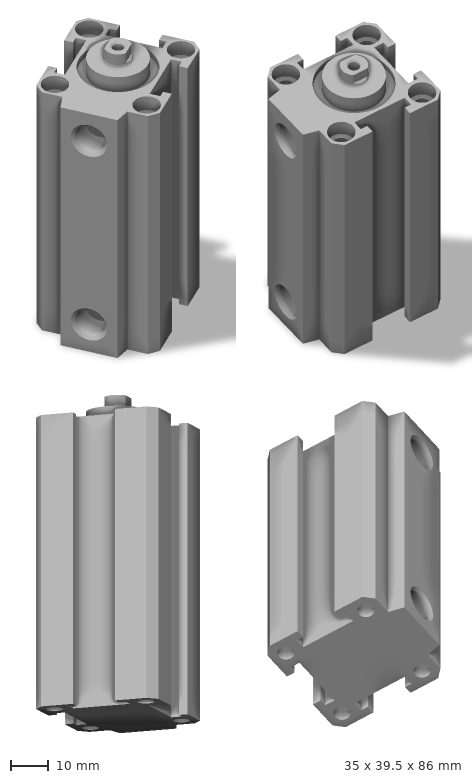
import cadquery as cq
import math


ORIGIN = (0, 0, 0)
Z_AXIS = (0, 0, 1)
PROFILE_AXIS = (0, 1, 0)
FULL_TURN = 360

width = 35.0
half = width / 2
total_depth = 39.5
total_height = 86.0
corner_chamfer = 2.5
housing_height = 79.0

slot_opening = 12.0
slot_inner = 16.2
slot_lip = 2.5
slot_depth = 5.5

port_boss_top_width = 18.4
port_boss_face_width = 16.2
port_face_y = half - total_depth

mount_spacing = 26.0
mount_hole_diameter = 4.6
mount_bore_diameter = 7.6
mount_bore_depth = 4.6

collar_diameter = 16.9
collar_height = 3.0
recess_diameter = 22.0
recess_depth = 2.0
collar_top = housing_height + collar_height

port_diameter = 8.6
port_chamfer = 0.9
port_depth = 8.0
port_end_distance = 9.0

rod_diameter = 8.0
rod_tip_diameter = 7.5
rod_shoulder_height = 0.5
rod_seat_depth = 10.0
rod_bottom = collar_top - rod_seat_depth

flat_width = 6.0
flat_start = 0.95
flat_runout_angle = 30

thread_hole_diameter = 3.2
thread_hole_chamfer = 0.4
thread_hole_depth = 6.9
drill_tip_angle = 118


def t_slot(angle):
    """Full-height T-slot on the +Y side, turned about Z by the angle."""
    mouth = cq.Workplane("XY").box(slot_opening, slot_depth, housing_height, centered=(True, False, False))
    channel = cq.Workplane("XY").box(
        slot_inner, slot_depth - slot_lip, housing_height, centered=(True, False, False)
    )
    slot = mouth.union(channel).translate((0, half - slot_depth, 0))
    return slot.rotate(ORIGIN, Z_AXIS, angle)


def make_profile():
    """Square extrusion with chamfered corners, a tapered port boss and three T-slots."""
    square = (
        cq.Workplane("XY")
        .box(width, width, housing_height, centered=(True, True, False))
        .edges("|Z")
        .chamfer(corner_chamfer)
    )
    boss = (
        cq.Workplane("XY")
        .polyline([
            (-port_boss_top_width / 2, -half),
            (-port_boss_face_width / 2, port_face_y),
            (port_boss_face_width / 2, port_face_y),
            (port_boss_top_width / 2, -half),
        ])
        .close()
        .extrude(housing_height)
    )
    profile = square.union(boss)
    for angle in (-90, 0, 90):
        profile = profile.cut(t_slot(angle))
    return profile


def drill_mounts(body):
    """Four counterbored through holes in the corners."""
    return (
        body.faces(">Z")
        .workplane(origin=(0, 0, housing_height))
        .rect(mount_spacing, mount_spacing, forConstruction=True)
        .vertices()
        .cboreHole(mount_hole_diameter, mount_bore_diameter, mount_bore_depth)
    )


def add_collar(body):
    """Round recess in the top with the collar standing up from its floor."""
    recess_floor = cq.Workplane("XY").workplane(offset=housing_height - recess_depth)
    recess = recess_floor.circle(recess_diameter / 2).extrude(recess_depth)
    collar = recess_floor.circle(collar_diameter / 2).extrude(recess_depth + collar_height)
    return body.cut(recess).union(collar)


def port(height):
    """Blind round port with a chamfered mouth, entering from the boss face."""
    radius = port_diameter / 2
    return (
        cq.Workplane("XY")
        .polyline([
            (0, port_face_y),
            (radius + port_chamfer, port_face_y),
            (radius, port_face_y + port_chamfer),
            (radius, port_face_y + port_depth),
            (0, port_face_y + port_depth),
        ])
        .close()
        .revolve(FULL_TURN, ORIGIN, PROFILE_AXIS)
        .translate((0, 0, height))
    )


def make_housing():
    body = add_collar(drill_mounts(make_profile()))
    for height in (port_end_distance, housing_height - port_end_distance):
        body = body.cut(port(height))
    rod_seat = (
        cq.Workplane("XY")
        .workplane(offset=rod_bottom)
        .circle(rod_diameter / 2)
        .extrude(rod_seat_depth)
    )
    return body.cut(rod_seat)


def flat_cutter():
    """Material removed for the flat on the +X side, with its sloping run-out."""
    inner = flat_width / 2
    outer = rod_diameter
    drop = (outer - inner) * math.tan(math.radians(flat_runout_angle))
    edge_z = collar_top + flat_start
    return (
        cq.Workplane("XZ")
        .polyline([(inner, edge_z), (outer, edge_z - drop), (outer, total_height), (inner, total_height)])
        .close()
        .extrude(rod_diameter / 2, both=True)
    )


def thread_hole():
    """Blind hole in the rod tip with a chamfered mouth and a conical bottom."""
    radius = thread_hole_diameter / 2
    bottom_z = total_height - thread_hole_depth
    tip_length = radius / math.tan(math.radians(drill_tip_angle / 2))
    return (
        cq.Workplane("XZ")
        .polyline([
            (0, total_height),
            (radius + thread_hole_chamfer, total_height),
            (radius, total_height - thread_hole_chamfer),
            (radius, bottom_z),
            (0, bottom_z - tip_length),
        ])
        .close()
        .revolve(FULL_TURN, ORIGIN, PROFILE_AXIS)
    )


def make_rod():
    rod_radius = rod_diameter / 2
    tip_radius = rod_tip_diameter / 2
    rod = (
        cq.Workplane("XZ")
        .polyline([
            (0, rod_bottom),
            (rod_radius, rod_bottom),
            (rod_radius, collar_top),
            (tip_radius, collar_top + rod_shoulder_height),
            (tip_radius, total_height),
            (0, total_height),
        ])
        .close()
        .revolve(FULL_TURN, ORIGIN, PROFILE_AXIS)
    )
    flat = flat_cutter()
    return rod.cut(flat).cut(flat.mirror("YZ")).cut(thread_hole())


housing = make_housing()
rod = make_rod()

result = cq.Compound.makeCompound([housing.val(), rod.val()])